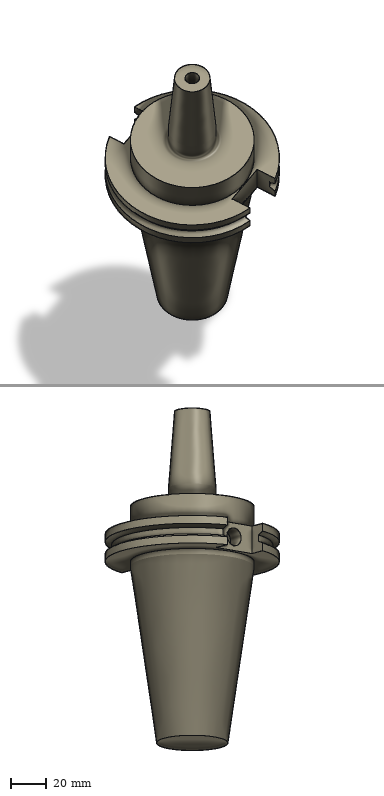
import cadquery as cq

total_height = 191.6
gauge_height = 101.5
flange_gap = 3.3
flange_thickness = 15.9
shoulder_height = 136.6
nose_cone_start = 147.0

gauge_diameter = 70.0
taper_ratio = 7 / 24
flange_diameter = 98.5
nose_diameter = 27.0
nose_tip_diameter = 20.1
nose_fillet = 3.0

groove_floor_diameter = 91.2
groove_floor_width = 3.6
groove_mouth_width = 6.9

slot_width = 25.7
left_slot_floor = 37.7
right_slot_floor = 35.5

tool_bore_diameter = 8.0
tool_bore_depth = 36.0
slot_hole_diameter = 10.2
slot_hole_depth = 9.5

flange_bottom = gauge_height + flange_gap
flange_top = flange_bottom + flange_thickness
flange_middle = (flange_bottom + flange_top) / 2


def make_body():
    """Revolve the taper, flange, shoulder and nose about Z."""
    body_radius = gauge_diameter / 2
    taper_end_radius = (gauge_diameter - gauge_height * taper_ratio) / 2
    flange_radius = flange_diameter / 2
    groove_radius = groove_floor_diameter / 2
    nose_radius = nose_diameter / 2
    half_floor = groove_floor_width / 2
    half_mouth = groove_mouth_width / 2
    profile = (
        cq.Workplane("XZ")
        .lineTo(taper_end_radius, 0)
        .lineTo(body_radius, gauge_height)
        .lineTo(body_radius, flange_bottom)
        .lineTo(flange_radius, flange_bottom)
        .lineTo(flange_radius, flange_middle - half_mouth)
        .lineTo(groove_radius, flange_middle - half_floor)
        .lineTo(groove_radius, flange_middle + half_floor)
        .lineTo(flange_radius, flange_middle + half_mouth)
        .lineTo(flange_radius, flange_top)
        .lineTo(body_radius, flange_top)
        .lineTo(body_radius, shoulder_height)
        .lineTo(nose_radius + nose_fillet, shoulder_height)
        .radiusArc((nose_radius, shoulder_height + nose_fillet), nose_fillet)
        .lineTo(nose_radius, nose_cone_start)
        .lineTo(nose_tip_diameter / 2, total_height)
        .lineTo(0, total_height)
        .close()
    )
    return profile.revolve(360, (0, 0, 0), (0, 1, 0))


def make_drive_slot(side, floor_distance):
    """Cutter for one slot; side is -1 for -X and +1 for +X."""
    slot_length = flange_diameter / 2
    return (
        cq.Workplane("XY", origin=(side * (floor_distance + slot_length / 2), 0, flange_middle))
        .box(slot_length, slot_width, flange_thickness)
    )


def make_slot_hole():
    """Cutter for the radial blind hole in the floor of the -X slot."""
    return (
        cq.Workplane("YZ", origin=(-left_slot_floor, 0, flange_middle))
        .circle(slot_hole_diameter / 2)
        .extrude(slot_hole_depth)
    )


def make_tool_bore():
    """Cutter for the blind tool bore in the nose."""
    return (
        cq.Workplane("XY", origin=(0, 0, total_height))
        .circle(tool_bore_diameter / 2)
        .extrude(-tool_bore_depth)
    )


result = (
    make_body()
    .cut(make_drive_slot(-1, left_slot_floor))
    .cut(make_drive_slot(1, right_slot_floor))
    .cut(make_slot_hole())
    .cut(make_tool_bore())
)